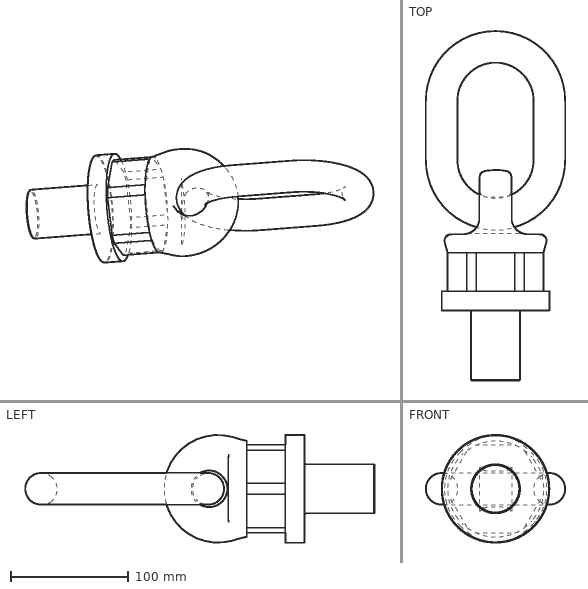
import cadquery as cq
import math


STUD_DIAMETER = 42.0
STUD_LENGTH = 59.5
STUD_END_CHAMFER = 1.0
STUD_ROOT_FILLET = 1.0
FLANGE_DIAMETER = 92.0
FLANGE_HEIGHT = 16.7
FLANGE_EDGE_CHAMFER = 0.5
HEX_ACROSS_FLATS = 75.0
HEX_CORNER_DIAMETER = 82.0
HEX_HEIGHT = 32.8

HEAD_BASE_Y = FLANGE_HEIGHT + HEX_HEIGHT
HEAD_BASE_RADIUS = HEX_CORNER_DIAMETER / 2
HEAD_SPHERE_RADIUS = FLANGE_DIAMETER / 2
HEAD_HEIGHT = 70.5
SPHERE_CENTER_Y = HEAD_BASE_Y + HEAD_HEIGHT - HEAD_SPHERE_RADIUS
SHOULDER_HEIGHT = 15.8
SHOULDER_Y = HEAD_BASE_Y + SHOULDER_HEIGHT
EYE_THICKNESS = 27.5
EYE_ROOT_FILLET = 13.7
HEAD_EDGE_FILLET = 5.7
EYE_HOLE_DIAMETER = 31.0
EYE_RIM_FILLET = 6.0
EYE_HOLE_RISE = 1.0
EYE_HOLE_Y = SHOULDER_Y + EYE_HOLE_RISE + EYE_HOLE_DIAMETER / 2

CUT_REACH = FLANGE_DIAMETER
BORE_MARGIN = 0.3

OVERALL_LENGTH = 298.0
LINK_WIDTH = 119.0
LINK_WIRE_DIAMETER = 27.0
LINK_STRAIGHT_LENGTH = 50.7
LINK_BEND_RADIUS = (LINK_WIDTH - LINK_WIRE_DIAMETER) / 2
LINK_TOP_Y = OVERALL_LENGTH - STUD_LENGTH
LINK_STRAIGHT_END_Y = LINK_TOP_Y - LINK_WIDTH / 2
LINK_STRAIGHT_START_Y = LINK_STRAIGHT_END_Y - LINK_STRAIGHT_LENGTH


def cylinder_along_y(diameter, start_y, end_y):
    """Cylinder on the Y axis between two Y positions."""
    start_plane = cq.Workplane("XZ", origin=(0, start_y, 0))
    return start_plane.circle(diameter / 2).extrude(start_y - end_y)


def make_bolt():
    """Stud, round flange and hexagon with turned corners, in one piece."""
    flange = cylinder_along_y(FLANGE_DIAMETER, 0, FLANGE_HEIGHT)
    flange = flange.faces("<Y").edges().chamfer(FLANGE_EDGE_CHAMFER)

    stud = cylinder_along_y(STUD_DIAMETER, 0, -STUD_LENGTH)
    stud = stud.faces("<Y").edges().chamfer(STUD_END_CHAMFER)

    across_corners = HEX_ACROSS_FLATS / math.cos(math.radians(30))
    hexagon = (
        cq.Workplane("XZ", origin=(0, FLANGE_HEIGHT, 0))
        .polygon(6, across_corners)
        .extrude(-HEX_HEIGHT)
        .intersect(cylinder_along_y(HEX_CORNER_DIAMETER, FLANGE_HEIGHT, HEAD_BASE_Y))
    )

    bolt = flange.union(stud).union(hexagon)
    seating_face = cq.selectors.NearestToPointSelector((0, 0, 0))
    smallest_circle = cq.selectors.RadiusNthSelector(0)
    return bolt.faces(seating_face).edges(smallest_circle).fillet(STUD_ROOT_FILLET)


def make_head_blank():
    """Revolved cone that runs tangentially into a sphere."""
    drop = SPHERE_CENTER_Y - HEAD_BASE_Y
    base_distance = math.hypot(HEAD_BASE_RADIUS, drop)
    tangent_angle = math.acos(HEAD_SPHERE_RADIUS / base_distance) - math.atan2(drop, HEAD_BASE_RADIUS)

    def sphere_point(angle):
        return (
            HEAD_SPHERE_RADIUS * math.cos(angle),
            SPHERE_CENTER_Y + HEAD_SPHERE_RADIUS * math.sin(angle),
        )

    return (
        cq.Workplane("XY")
        .moveTo(0, HEAD_BASE_Y)
        .lineTo(HEAD_BASE_RADIUS, HEAD_BASE_Y)
        .lineTo(*sphere_point(tangent_angle))
        .threePointArc(sphere_point(math.pi / 4), sphere_point(math.pi / 2))
        .close()
        .revolve(360, (0, 0, 0), (0, 1, 0))
    )


def make_side_cut():
    """Material removed beside the eye plate on +X, rounded into the shoulder."""
    plate_x = EYE_THICKNESS / 2
    top_y = SPHERE_CENTER_Y + CUT_REACH
    return (
        cq.Workplane("XY")
        .moveTo(plate_x, top_y)
        .lineTo(plate_x, SHOULDER_Y + EYE_ROOT_FILLET)
        .radiusArc((plate_x + EYE_ROOT_FILLET, SHOULDER_Y), -EYE_ROOT_FILLET)
        .lineTo(CUT_REACH, SHOULDER_Y)
        .lineTo(CUT_REACH, top_y)
        .close()
        .extrude(CUT_REACH, both=True)
    )


def make_eye_head():
    """Swivelling head with the eye that holds the link."""
    side_cut = make_side_cut()
    head = make_head_blank().cut(side_cut).cut(side_cut.mirror("YZ"))

    plate_faces = head.faces("%PLANE").faces("<X or >X")
    head = plate_faces.edges("%CIRCLE").fillet(HEAD_EDGE_FILLET)

    eye_hole = (
        cq.Workplane("YZ", origin=(-CUT_REACH, EYE_HOLE_Y, 0))
        .circle(EYE_HOLE_DIAMETER / 2)
        .extrude(2 * CUT_REACH)
    )
    head = head.cut(eye_hole)

    bore_reach = EYE_HOLE_DIAMETER / 2 + BORE_MARGIN
    around_bore = cq.selectors.BoxSelector(
        (-CUT_REACH, EYE_HOLE_Y - bore_reach, -bore_reach),
        (CUT_REACH, EYE_HOLE_Y + bore_reach, bore_reach),
        boundingbox=True,
    )
    bore_rims = head.edges(around_bore).edges("not |X")
    return bore_rims.fillet(EYE_RIM_FILLET)


def make_link():
    """Closed oval link of round wire lying in the XY plane."""
    top_y = LINK_STRAIGHT_END_Y + LINK_BEND_RADIUS
    bottom_y = LINK_STRAIGHT_START_Y - LINK_BEND_RADIUS
    path = (
        cq.Workplane("XY")
        .moveTo(LINK_BEND_RADIUS, LINK_STRAIGHT_START_Y)
        .lineTo(LINK_BEND_RADIUS, LINK_STRAIGHT_END_Y)
        .threePointArc((0, top_y), (-LINK_BEND_RADIUS, LINK_STRAIGHT_END_Y))
        .lineTo(-LINK_BEND_RADIUS, LINK_STRAIGHT_START_Y)
        .threePointArc((0, bottom_y), (LINK_BEND_RADIUS, LINK_STRAIGHT_START_Y))
        .close()
    )
    wire_plane = cq.Workplane("XZ", origin=(LINK_BEND_RADIUS, LINK_STRAIGHT_START_Y, 0))
    return wire_plane.circle(LINK_WIRE_DIAMETER / 2).sweep(path)


bolt = make_bolt()
eye_head = make_eye_head()
link = make_link()

result = cq.Compound.makeCompound([bolt.val(), eye_head.val(), link.val()])